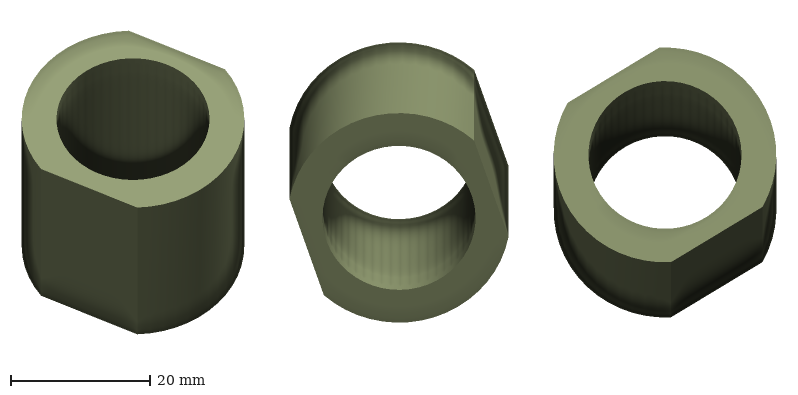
import cadquery as cq

outer_diameter = 32.0
bore_diameter = 22.0
width_across_flats = 28.0
height = 30.0


def flatted_body():
    """Round bar with two parallel flats facing -Y and +Y."""
    cylinder = cq.Workplane("XY").circle(outer_diameter / 2).extrude(height)
    flats_envelope = cq.Workplane("XY").rect(outer_diameter, width_across_flats).extrude(height)
    return cylinder.intersect(flats_envelope)


def through_bore():
    """Plain bore along the full height of the sleeve."""
    return cq.Workplane("XY").circle(bore_diameter / 2).extrude(height)


result = flatted_body().cut(through_bore())